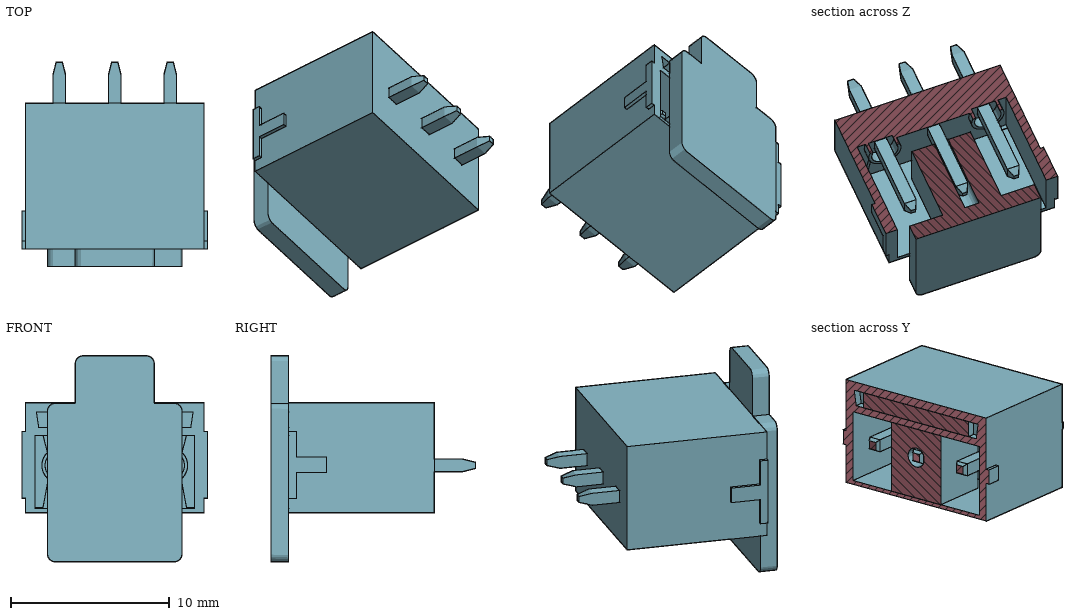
import cadquery as cq


HOUSING_WIDTH = 11.26
HOUSING_DEPTH = 9.2
HOUSING_HEIGHT = 6.95

CAVITY_HALF_WIDTH = 5.05
CAVITY_FLOOR = 0.29
CAVITY_CEILING = 4.89
CAVITY_DEPTH = 6.5

KEYWAY_TOP_HALF_WIDTH = 4.94
KEYWAY_FLOOR_HALF_WIDTH = 4.8
KEYWAY_FLOOR = 5.38
KEYWAY_CEILING = 6.36
KEYWAY_DEPTH = 1.95

LUG_THICKNESS = 0.22
LUG_BOTTOM = 0.91
LUG_HEIGHT = 4.22
LUG_STRIP_LENGTH = 0.5
LUG_BAR_LENGTH = 2.4
LUG_BAR_HEIGHT = 0.98

PIN_PITCH = 3.5
PIN_HEIGHT = 2.99
PIN_SIZE = 0.8
PIN_FRONT = 1.21
PIN_FRONT_TAPER = 0.5
PIN_FRONT_TIP = 0.3
PIN_TAIL = 2.59
PIN_TAIL_TAPER = 0.8
PIN_TAIL_TIP = 0.4

RING_DIAMETER = 2.2
RING_BORE = 1.8
RING_HEIGHT = 0.5
RELIEF_DEPTH = 0.26
RELIEF_INNER_HALF_WIDTH = 4.52
RELIEF_APEX_HALF_WIDTH = 4.03
RELIEF_FLOOR_STEP = 0.05

PLATE_WIDTH = 8.5
PLATE_THICKNESS = 1.1
SHOULDER_DROP = 0.05
PLATE_TOTAL_HEIGHT = 13.0
TAB_WIDTH = 4.99
TAB_HEIGHT = 3.0
CORNER_RADIUS = 0.51
PLUG_WIDTH = 4.0
PLUG_LENGTH = 5.2
PLUG_BORE = 1.25
TONGUE_INSET = 0.03
TONGUE_LENGTH = KEYWAY_DEPTH

PLATE_SHOULDER = HOUSING_HEIGHT - SHOULDER_DROP
PLATE_BOTTOM = PLATE_SHOULDER + TAB_HEIGHT - PLATE_TOTAL_HEIGHT
RELIEF_FLOOR = CAVITY_FLOOR + RELIEF_FLOOR_STEP
RELIEF_BACK = CAVITY_DEPTH + RELIEF_DEPTH
PIN_POSITIONS = [-PIN_PITCH, 0, PIN_PITCH]
SIDES = [-1, 1]


def block(x_range, y_range, z_range):
    """Box between two limits along each axis."""
    (x0, x1), (y0, y1), (z0, z1) = x_range, y_range, z_range
    return cq.Workplane("XY").box(x1 - x0, y1 - y0, z1 - z0, centered=False).translate((x0, y0, z0))


def facing_back(y, x=0, z=0):
    """Sketch plane at depth y whose local axes are X and Z; a negative extrusion runs toward +Y."""
    return cq.Workplane("XZ", origin=(x, y, z))


def pin_rod(x, diameter, start, end):
    """Round rod on the axis of the pin at x."""
    return facing_back(start, x, PIN_HEIGHT).circle(diameter / 2).extrude(start - end)


def make_pin(x):
    """Square pin through the back wall, tapered at both ends."""
    body_front = PIN_FRONT + PIN_FRONT_TAPER
    body_back = HOUSING_DEPTH + PIN_TAIL - PIN_TAIL_TAPER
    body = facing_back(body_front, x, PIN_HEIGHT).rect(PIN_SIZE, PIN_SIZE).extrude(body_front - body_back)
    front_tip = (
        facing_back(PIN_FRONT, x, PIN_HEIGHT)
        .rect(PIN_FRONT_TIP, PIN_FRONT_TIP)
        .workplane(offset=-PIN_FRONT_TAPER)
        .rect(PIN_SIZE, PIN_SIZE)
        .loft(ruled=True)
    )
    tail_tip = (
        facing_back(body_back, x, PIN_HEIGHT)
        .rect(PIN_SIZE, PIN_SIZE)
        .workplane(offset=-PIN_TAIL_TAPER)
        .rect(PIN_TAIL_TIP, PIN_TAIL_TIP)
        .loft(ruled=True)
    )
    return body.union(front_tip).union(tail_tip)


def make_lug(side):
    """T-shaped lug: an upright strip along the front edge and a bar running back from it."""
    wall = side * HOUSING_WIDTH / 2
    x_range = sorted([wall, wall + side * LUG_THICKNESS])
    bar_bottom = LUG_BOTTOM + (LUG_HEIGHT - LUG_BAR_HEIGHT) / 2
    strip = block(x_range, (0, LUG_STRIP_LENGTH), (LUG_BOTTOM, LUG_BOTTOM + LUG_HEIGHT))
    bar = block(x_range, (0, LUG_BAR_LENGTH), (bar_bottom, bar_bottom + LUG_BAR_HEIGHT))
    return strip.union(bar)


def make_relief(side):
    """Shallow recess in the back wall, its inner edge a point aimed at the outer pin."""
    return (
        facing_back(CAVITY_DEPTH)
        .polyline([
            (side * CAVITY_HALF_WIDTH, RELIEF_FLOOR),
            (side * RELIEF_INNER_HALF_WIDTH, RELIEF_FLOOR),
            (side * RELIEF_APEX_HALF_WIDTH, PIN_HEIGHT),
            (side * RELIEF_INNER_HALF_WIDTH, CAVITY_CEILING),
            (side * CAVITY_HALF_WIDTH, CAVITY_CEILING),
        ])
        .close()
        .extrude(-RELIEF_DEPTH)
    )


def make_keyway():
    """Trapezoid slot above the cavity that takes the tongue of the cap."""
    return (
        facing_back(0)
        .polyline([
            (-KEYWAY_TOP_HALF_WIDTH, KEYWAY_CEILING),
            (KEYWAY_TOP_HALF_WIDTH, KEYWAY_CEILING),
            (KEYWAY_FLOOR_HALF_WIDTH, KEYWAY_FLOOR),
            (-KEYWAY_FLOOR_HALF_WIDTH, KEYWAY_FLOOR),
        ])
        .close()
        .extrude(-KEYWAY_DEPTH)
    )


def make_housing(pins):
    """Shell with its cavity, keyway, lugs and pin rings, pierced by the pins."""
    shell = block(
        (-HOUSING_WIDTH / 2, HOUSING_WIDTH / 2), (0, HOUSING_DEPTH), (0, HOUSING_HEIGHT)
    )
    cavity = block(
        (-CAVITY_HALF_WIDTH, CAVITY_HALF_WIDTH), (0, CAVITY_DEPTH), (CAVITY_FLOOR, CAVITY_CEILING)
    )
    shell = shell.cut(cavity).cut(make_keyway())
    for side in SIDES:
        outer_pin = side * PIN_PITCH
        ring_front = CAVITY_DEPTH - RING_HEIGHT
        shell = shell.union(make_lug(side)).cut(make_relief(side))
        shell = shell.union(pin_rod(outer_pin, RING_DIAMETER, ring_front, RELIEF_BACK))
        shell = shell.cut(pin_rod(outer_pin, RING_BORE, ring_front, RELIEF_BACK))
    for pin in pins:
        shell = shell.cut(pin)
    return shell


def make_cap():
    """Front plate with a finger tab, a plug bored for the middle pin and a tongue for the keyway."""
    y_range = (-PLATE_THICKNESS, 0)
    plate = block((-PLATE_WIDTH / 2, PLATE_WIDTH / 2), y_range, (PLATE_BOTTOM, PLATE_SHOULDER))
    plate = plate.edges("|Y").fillet(CORNER_RADIUS)
    tab_bottom = PLATE_SHOULDER - CORNER_RADIUS
    tab = block((-TAB_WIDTH / 2, TAB_WIDTH / 2), y_range, (tab_bottom, PLATE_SHOULDER + TAB_HEIGHT))
    tab = tab.edges("|Y and >Z").fillet(CORNER_RADIUS)
    plug = block((-PLUG_WIDTH / 2, PLUG_WIDTH / 2), (0, PLUG_LENGTH), (CAVITY_FLOOR, CAVITY_CEILING))
    plug = plug.cut(pin_rod(0, PLUG_BORE, 0, PLUG_LENGTH))
    tongue_half_width = PLATE_WIDTH / 2 - TONGUE_INSET
    tongue = block(
        (-tongue_half_width, tongue_half_width), (0, TONGUE_LENGTH), (KEYWAY_FLOOR, KEYWAY_CEILING)
    )
    return plate.union(tab).union(plug).union(tongue)


pins = [make_pin(x) for x in PIN_POSITIONS]
housing = make_housing(pins)
cap = make_cap()

result = cq.Compound.makeCompound([housing.val(), cap.val(), *[pin.val() for pin in pins]])